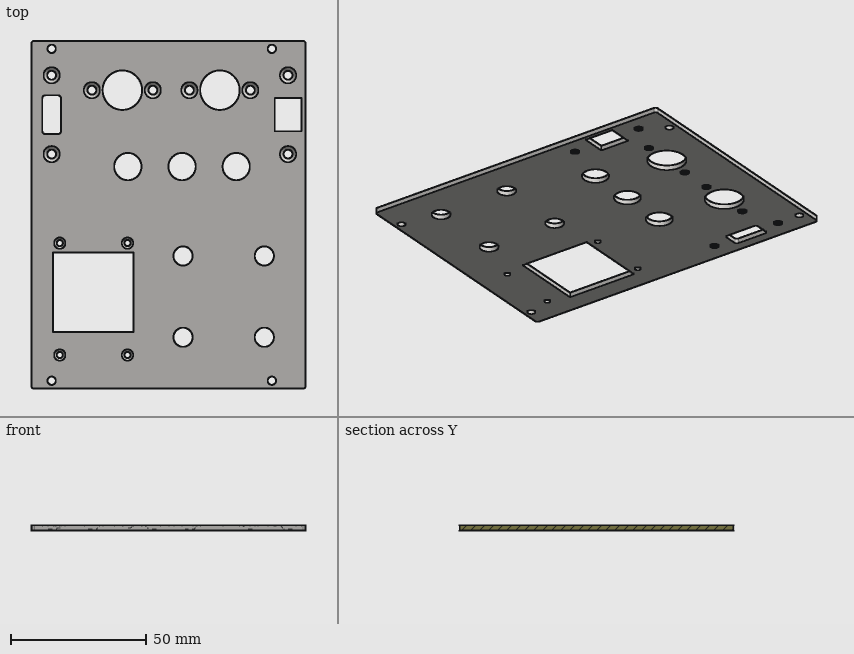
import cadquery as cq

PANEL_WIDTH = 101.26
PANEL_HEIGHT = 128.4
PANEL_THICKNESS = 2.0
PANEL_CORNER_RADIUS = 1.0

MOUNT_DIAMETER = 3.0
MOUNT_EDGE_X = 7.5
MOUNT_PITCH_X = 81.28
MOUNT_PITCH_Y = 122.5

COUNTERSINK_ANGLE = 90.0
LARGE_SCREW = (3.2, 6.0)
SMALL_SCREW = (2.2, 4.2)

SOCKET_DIAMETER = 14.5
SOCKET_PITCH = 36.0
SOCKET_CENTER = (51.6, 110.2)
SOCKET_SCREW_PITCH = 22.5

CONNECTOR_Y = 101.15
CONNECTOR_SCREW_PITCH = 29.1
LEFT_CONNECTOR_X = 7.5
LEFT_CONNECTOR_SIZE = (6.8, 14.2)
LEFT_CONNECTOR_RADIUS = 1.0
RIGHT_CONNECTOR_X = 94.75
RIGHT_CONNECTOR_SIZE = (9.8, 12.2)

JACK_DIAMETER = 10.0
JACK_COUNT = 3
JACK_PITCH = 20.0
JACK_ROW_CENTER = (55.63, 82.0)

SHAFT_DIAMETER = 7.0
SHAFT_PITCH = 30.0
SHAFT_GRID_CENTER = (71.0, 34.0)

WINDOW_CENTER = (22.85, 35.6)
WINDOW_SIZE = (29.6, 29.2)
WINDOW_SCREW_CENTER = (23.0, 33.1)
WINDOW_SCREW_PITCH_X = 25.0
WINDOW_SCREW_PITCH_Y = 41.3


def grid_points(center, pitch_x, count_x, pitch_y, count_y):
    """Centres of an evenly spaced grid placed symmetrically about a point."""
    start_x = center[0] - pitch_x * (count_x - 1) / 2
    start_y = center[1] - pitch_y * (count_y - 1) / 2
    return [
        (start_x + pitch_x * column, start_y + pitch_y * row)
        for column in range(count_x)
        for row in range(count_y)
    ]


def row_points(center, pitch, count):
    """Centres of an evenly spaced row along X."""
    return grid_points(center, pitch, count, 0, 1)


def column_points(center, pitch, count):
    """Centres of an evenly spaced column along Y."""
    return grid_points(center, 0, 1, pitch, count)


def panel_top(panel):
    """Workplane on the top face with its origin above the lower-left corner."""
    return panel.faces(">Z").workplane(origin=(0, 0, PANEL_THICKNESS))


def cut_holes(panel, points, diameter):
    return panel_top(panel).pushPoints(points).hole(diameter)


def cut_countersunk_holes(panel, points, screw):
    hole_diameter, head_diameter = screw
    return panel_top(panel).pushPoints(points).cskHole(hole_diameter, head_diameter, COUNTERSINK_ANGLE)


def rectangular_cutter(center, size, corner_radius=0):
    """Block that cuts a rectangular opening right through the panel."""
    cutter = cq.Workplane("XY").center(*center).rect(*size).extrude(PANEL_THICKNESS)
    if corner_radius > 0:
        cutter = cutter.edges("|Z").fillet(corner_radius)
    return cutter


def make_blank():
    blank = cq.Workplane("XY").box(PANEL_WIDTH, PANEL_HEIGHT, PANEL_THICKNESS, centered=False)
    return blank.edges("|Z").fillet(PANEL_CORNER_RADIUS)


def add_mounting_holes(panel):
    center = (MOUNT_EDGE_X + MOUNT_PITCH_X / 2, PANEL_HEIGHT / 2)
    return cut_holes(panel, grid_points(center, MOUNT_PITCH_X, 2, MOUNT_PITCH_Y, 2), MOUNT_DIAMETER)


def add_sockets(panel):
    sockets = row_points(SOCKET_CENTER, SOCKET_PITCH, 2)
    panel = cut_holes(panel, sockets, SOCKET_DIAMETER)
    for socket in sockets:
        panel = cut_countersunk_holes(panel, row_points(socket, SOCKET_SCREW_PITCH, 2), LARGE_SCREW)
    return panel


def add_connector(panel, center_x, size, corner_radius=0):
    center = (center_x, CONNECTOR_Y)
    panel = panel.cut(rectangular_cutter(center, size, corner_radius))
    return cut_countersunk_holes(panel, column_points(center, CONNECTOR_SCREW_PITCH, 2), LARGE_SCREW)


def add_jacks(panel):
    return cut_holes(panel, row_points(JACK_ROW_CENTER, JACK_PITCH, JACK_COUNT), JACK_DIAMETER)


def add_shaft_holes(panel):
    return cut_holes(panel, grid_points(SHAFT_GRID_CENTER, SHAFT_PITCH, 2, SHAFT_PITCH, 2), SHAFT_DIAMETER)


def add_display(panel):
    panel = panel.cut(rectangular_cutter(WINDOW_CENTER, WINDOW_SIZE))
    screws = grid_points(WINDOW_SCREW_CENTER, WINDOW_SCREW_PITCH_X, 2, WINDOW_SCREW_PITCH_Y, 2)
    return cut_countersunk_holes(panel, screws, SMALL_SCREW)


panel = make_blank()
panel = add_mounting_holes(panel)
panel = add_sockets(panel)
panel = add_connector(panel, LEFT_CONNECTOR_X, LEFT_CONNECTOR_SIZE, LEFT_CONNECTOR_RADIUS)
panel = add_connector(panel, RIGHT_CONNECTOR_X, RIGHT_CONNECTOR_SIZE)
panel = add_jacks(panel)
panel = add_shaft_holes(panel)
panel = add_display(panel)

result = panel